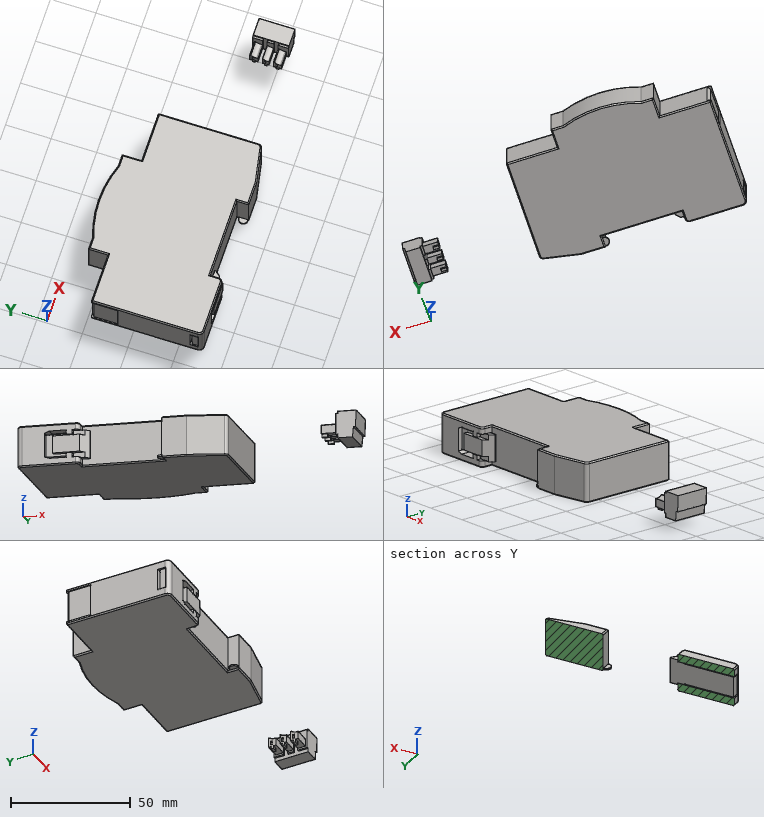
import cadquery as cq

case_width = 90.0
case_depth = 60.5
case_thickness = 17.8
mid_x = case_width / 2
mid_z = case_thickness / 2

shoulder_y = 49.0
nose_width = 45.0
nose_edge_y = 57.5
nose_arc_width = 34.4
rail_left = 27.0
rail_right = 62.4
rail_y = 5.5
right_foot_y = 0.3
slope_start_x = 73.0
slope_end_y = 3.6
foot_corner = 2.2
rail_corner = 1.7
slope_corner = 1.7
shoulder_corner = 0.6
edge_bevel = 0.6
skin = 1.3

recess_depth = 0.6
recess_start_y = 37.3
recess_corner = 1.2

hook_reach = 2.3
hook_low_y = 0.6
hook_high_y = 4.5

latch_plate_low_y = 2.0
latch_plate_high_y = 4.8
latch_plate_height = 9.5
latch_start_x = 0.5
latch_tip_x = 30.6
latch_tip_land = 0.7
latch_head_x = 23.8
latch_head_height = 11.8
grip_start_x = 15.5
grip_end_x = rail_left
grip_height = 7.4
latch_slope = (latch_tip_x - grip_end_x) / (latch_plate_high_y - latch_tip_land)
sloped_foot_x = grip_end_x + latch_slope * latch_plate_low_y

channel_height = 10.1
channel_high_y = 5.6
window_start_x = 12.0
window_end_x = 21.2
window_bevel_x = 2.0
window_bevel_z = 0.9
neck_height = 8.0

plug_end_x = 144.4
plug_front_x = 136.5
plug_low_y = 7.0
plug_width = 15.7
plug_bottom_z = 5.0
plug_top_z = 16.6
plug_step_z = 9.4
plug_back_draft = 0.3
plug_step = 0.9
plug_bottom_end_x = 142.8
pad_depth = 0.9
pad_bottom_z = 6.8
pad_top_z = 15.7
plug_mid_y = plug_low_y + plug_width / 2

contact_pitch = 5.2
contact_tip_x = 129.1
outer_contact_width = 3.6
middle_contact_width = 2.9
contact_bottom_z = 7.7
contact_low_top_z = 11.3
contact_high_top_z = 12.3
scoop_width = 2.6
toe_length = 2.5
toe_drop = 1.3
toe_width = 1.2
socket_width = 0.7
socket_height = 1.7
socket_depth = 1.2
contact_widths = [outer_contact_width, middle_contact_width, outer_contact_width]
contact_offsets = [-contact_pitch, 0, contact_pitch]
contact_base_x = plug_front_x - pad_depth


def box(x0, x1, y0, y1, z0, z1):
    """Box between two opposite corners."""
    return cq.Workplane("XY").box(x1 - x0, y1 - y0, z1 - z0, centered=False).translate((x0, y0, z0))


def middle_box(x0, x1, y0, y1, height):
    """Box centred on the mid plane of the case thickness."""
    return box(x0, x1, y0, y1, mid_z - height / 2, mid_z + height / 2)


def case_shell():
    """Bevelled module outline with a bowed nose and a rail slot in the foot."""
    nose_left = mid_x - nose_width / 2
    nose_right = mid_x + nose_width / 2
    shell = (
        cq.Workplane("XY")
        .moveTo(0, 0)
        .lineTo(rail_left, 0)
        .lineTo(rail_left, rail_y)
        .lineTo(rail_right, rail_y)
        .lineTo(rail_right, right_foot_y)
        .lineTo(slope_start_x, right_foot_y)
        .lineTo(case_width, slope_end_y)
        .lineTo(case_width, shoulder_y)
        .lineTo(nose_right, shoulder_y)
        .lineTo(nose_right, nose_edge_y)
        .lineTo(mid_x + nose_arc_width / 2, nose_edge_y)
        .threePointArc((mid_x, case_depth), (mid_x - nose_arc_width / 2, nose_edge_y))
        .lineTo(nose_left, nose_edge_y)
        .lineTo(nose_left, shoulder_y)
        .lineTo(0, shoulder_y)
        .close()
        .extrude(case_thickness)
    )

    def upright_edge(x, y):
        return cq.selectors.NearestToPointSelector((x, y, mid_z))

    shell = shell.edges(upright_edge(0, 0)).fillet(foot_corner)
    shell = shell.edges(upright_edge(rail_left, 0)).fillet(rail_corner)
    shell = shell.edges(upright_edge(case_width, slope_end_y)).fillet(slope_corner)
    for x in (0, case_width):
        shell = shell.edges(upright_edge(x, shoulder_y)).fillet(shoulder_corner)
    return shell.faces("<Z or >Z").chamfer(edge_bevel)


def side_recess():
    """Shallow recess in the left side, running out over a bevelled shoulder corner."""
    return (
        cq.Workplane("XY", origin=(0, 0, skin))
        .polyline([
            (0, recess_start_y),
            (recess_depth, recess_start_y),
            (recess_depth, shoulder_y - recess_corner),
            (recess_depth + recess_corner, shoulder_y),
            (0, shoulder_y),
        ])
        .close()
        .extrude(case_thickness - 2 * skin)
    )


def fixed_hook():
    """Rounded tongue at the underside that grips the rail from the right foot."""
    return (
        cq.Workplane("XY", origin=(0, 0, edge_bevel))
        .moveTo(rail_right, hook_low_y)
        .threePointArc((rail_right - hook_reach, (hook_low_y + hook_high_y) / 2), (rail_right, hook_high_y))
        .lineTo(rail_right + hook_reach, hook_high_y)
        .lineTo(rail_right + hook_reach, hook_low_y)
        .close()
        .extrude(skin - edge_bevel)
    )


def latch_opening():
    """Channel for the latch plate, its window in the foot and the passage for its head."""
    window_half = latch_head_height / 2
    channel = middle_box(0, rail_left, latch_plate_low_y, channel_high_y, channel_height)
    head_passage = middle_box(latch_head_x, rail_left, 0, latch_plate_high_y, latch_head_height)
    neck = middle_box(window_end_x, latch_head_x, 0, latch_plate_low_y, neck_height)
    window = (
        cq.Workplane("XZ", origin=(0, latch_plate_high_y, mid_z))
        .polyline([
            (window_start_x, window_bevel_z - window_half),
            (window_start_x + window_bevel_x, -window_half),
            (window_end_x, -window_half),
            (window_end_x, window_half),
            (window_start_x + window_bevel_x, window_half),
            (window_start_x, window_half - window_bevel_z),
        ])
        .close()
        .extrude(latch_plate_high_y)
    )
    return channel.union(head_passage).union(neck).union(window)


def make_case():
    return case_shell().union(fixed_hook()).cut(side_recess()).cut(latch_opening())


def make_latch():
    """Sliding plate with a wide sloped head that grips the rail, and a raised grip."""
    plate = middle_box(latch_start_x, latch_head_x, latch_plate_low_y, latch_plate_high_y, latch_plate_height)
    head = (
        cq.Workplane("XY", origin=(0, 0, mid_z))
        .polyline([
            (latch_head_x, latch_plate_low_y),
            (sloped_foot_x, latch_plate_low_y),
            (latch_tip_x, latch_plate_high_y - latch_tip_land),
            (latch_tip_x, latch_plate_high_y),
            (latch_head_x, latch_plate_high_y),
        ])
        .close()
        .extrude(latch_head_height / 2, both=True)
    )
    grip = (
        cq.Workplane("XY", origin=(0, 0, mid_z))
        .polyline([
            (grip_start_x, 0),
            (grip_end_x, 0),
            (sloped_foot_x, latch_plate_low_y),
            (grip_start_x, latch_plate_low_y),
        ])
        .close()
        .extrude(grip_height / 2, both=True)
    )
    return plate.union(head).union(grip)


def make_plug():
    """Plug block with a stepped, drafted back and one raised pad behind each contact."""
    step_x = plug_end_x - plug_back_draft
    plug = (
        cq.Workplane("XZ", origin=(0, plug_low_y, 0))
        .polyline([
            (plug_front_x, plug_bottom_z),
            (plug_bottom_end_x, plug_bottom_z),
            (step_x - plug_step, plug_step_z),
            (step_x, plug_step_z),
            (plug_end_x, plug_top_z),
            (plug_front_x, plug_top_z),
        ])
        .close()
        .extrude(-plug_width)
    )
    half_middle = middle_contact_width / 2
    inner_edge = contact_pitch - outer_contact_width / 2
    half_plug = plug_width / 2
    for low, high in [(-half_plug, -inner_edge), (-half_middle, half_middle), (inner_edge, half_plug)]:
        plug = plug.union(
            box(contact_base_x, plug_front_x, plug_mid_y + low, plug_mid_y + high, pad_bottom_z, pad_top_z)
        )
    return plug


def make_contact(offset, width):
    """Contact finger with a scooped top that rises toward +Y, and a toe and a socket at its tip."""
    low_y = plug_mid_y + offset - width / 2
    high_y = low_y + width
    mid_y = (low_y + high_y) / 2
    scoop_low_y = mid_y - scoop_width / 2
    scoop_high_y = mid_y + scoop_width / 2
    finger = (
        cq.Workplane("YZ", origin=(contact_tip_x, 0, 0))
        .moveTo(high_y, contact_bottom_z)
        .lineTo(low_y, contact_bottom_z)
        .lineTo(low_y, contact_low_top_z)
        .lineTo(scoop_low_y, contact_low_top_z)
        .tangentArcPoint((scoop_high_y, contact_high_top_z), relative=False)
        .lineTo(high_y, contact_high_top_z)
        .close()
        .extrude(contact_base_x - contact_tip_x)
    )
    toe = box(
        contact_tip_x, contact_tip_x + toe_length,
        mid_y - toe_width / 2, mid_y + toe_width / 2,
        contact_bottom_z - toe_drop, contact_bottom_z,
    )
    socket_mid_z = (contact_bottom_z + contact_low_top_z) / 2
    socket = box(
        contact_tip_x, contact_tip_x + socket_depth,
        mid_y, mid_y + socket_width,
        socket_mid_z - socket_height / 2, socket_mid_z + socket_height / 2,
    )
    return finger.union(toe).cut(socket)


case = make_case()
latch = make_latch()
plug = make_plug()
contacts = [make_contact(offset, width) for offset, width in zip(contact_offsets, contact_widths)]

result = cq.Compound.makeCompound([
    case.val(),
    latch.val(),
    plug.val(),
    *[contact.val() for contact in contacts],
])